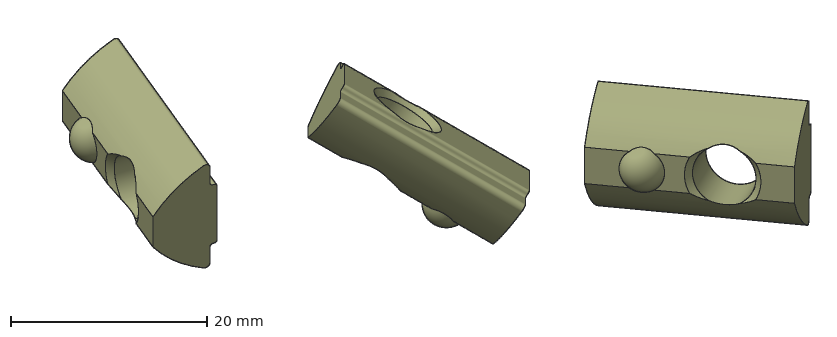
import cadquery as cq
import math

length = 22.0
height = 13.7
depth = 7.22
front_flat_height = 4.03
flank_radius = 14.52
lip_radius = 0.53

tongue_depth = 0.8
tongue_height = 7.8
tongue_corner_radius = 0.33

hole_x = 3.48
hole_diameter = 6.65
countersink_diameter = 8.0

ball_x = -5.0
ball_radius = 2.5
overall_depth = 8.95


def flank_centre(lip_centre, front_corner):
    """Centre of the flank arc that ends on the front corner and is tangent to the lip round."""
    lip_distance = flank_radius - lip_radius
    dy = front_corner[0] - lip_centre[0]
    dz = front_corner[1] - lip_centre[1]
    span = math.hypot(dy, dz)
    along = (lip_distance**2 - flank_radius**2 + span**2) / (2 * span)
    across = math.sqrt(lip_distance**2 - along**2)
    return (
        lip_centre[0] + (along * dy + across * -dz) / span,
        lip_centre[1] + (along * dz + across * dy) / span,
    )


def polar(centre, radius, angle):
    return (centre[0] + radius * math.cos(angle), centre[1] + radius * math.sin(angle))


def make_half_body():
    """Upper half of the body, with its section in (Y, Z)."""
    lip_centre = (-tongue_depth - lip_radius, height / 2 - lip_radius)
    front_corner = (-depth, front_flat_height / 2)
    centre = flank_centre(lip_centre, front_corner)
    lip_angle = math.atan2(lip_centre[1] - centre[1], lip_centre[0] - centre[0])
    corner_angle = math.atan2(front_corner[1] - centre[1], front_corner[0] - centre[0])
    flank_start = polar(lip_centre, lip_radius, lip_angle)
    flank_middle = polar(centre, flank_radius, (lip_angle + corner_angle) / 2)
    lip_middle = polar(lip_centre, lip_radius, lip_angle / 2)
    tongue_top = tongue_height / 2
    r = tongue_corner_radius
    return (
        cq.Workplane("YZ")
        .moveTo(0, 0)
        .lineTo(0, tongue_top - r)
        .radiusArc((-r, tongue_top), -r)
        .lineTo(-tongue_depth + r, tongue_top)
        .radiusArc((-tongue_depth, tongue_top + r), r)
        .lineTo(-tongue_depth, lip_centre[1])
        .threePointArc(lip_middle, flank_start)
        .threePointArc(flank_middle, front_corner)
        .lineTo(-depth, 0)
        .close()
        .extrude(length / 2, both=True)
    )


def make_hole_cutter():
    """Hole with 45 degree countersinks, revolved about its axis along Y."""
    hole_radius = hole_diameter / 2
    sink_radius = countersink_diameter / 2
    sink_depth = sink_radius - hole_radius
    return (
        cq.Workplane("XY")
        .polyline([
            (0, 0),
            (sink_radius, 0),
            (hole_radius, -sink_depth),
            (hole_radius, -depth + sink_depth),
            (sink_radius, -depth),
            (0, -depth),
        ])
        .close()
        .revolve(360, (0, 0), (0, 1))
        .translate((hole_x, 0, 0))
    )


half_body = make_half_body()
body = half_body.union(half_body.mirror("XY")).clean()
ball = cq.Workplane("XY").sphere(ball_radius).translate((ball_x, ball_radius - overall_depth, 0))
result = body.cut(make_hole_cutter()).union(ball)